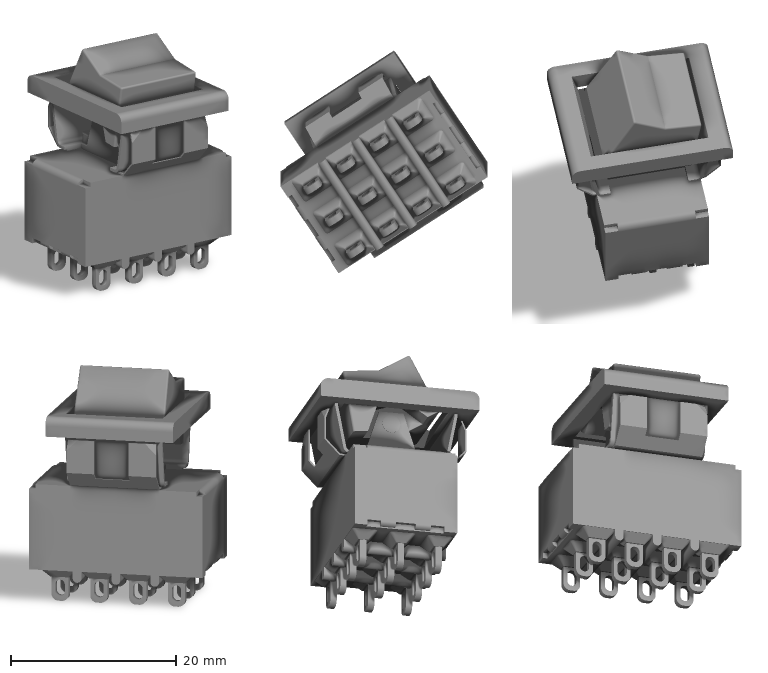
import cadquery as cq
import math

HOUSING_X = 12.8
HOUSING_Y = 21.58
HOUSING_BOTTOM = 4.0
HOUSING_TOP = 14.6
ROLL_LENGTH = 9.6
ROLL_RADIUS = 0.75
CORNER_NOTCH_Y = 0.77
CORNER_NOTCH_Z = 0.57
END_NOTCH_HEIGHT = 0.7
END_NOTCH_DEPTH = 0.57
TAB_OFFSET = 2.17
TAB_LENGTH = 1.9
TAB_HEIGHT = 0.55
TAB_RADIUS = 0.5

TERMINAL_PITCH_X = 4.72
TERMINAL_PITCH_Y = 4.83
TERMINAL_COLUMNS = 3
TERMINAL_ROWS = 4
TERMINAL_THICKNESS = 0.8
TERMINAL_WIDTH = 2.15
TERMINAL_CORNER = 0.85
SLOT_WIDTH = 1.17
SLOT_LENGTH = 2.0
SLOT_CENTER_Z = 1.63
SEAL_TOP = (3.2, 4.3)
SEAL_BOTTOM = (1.25, 2.35)
SEAL_HEIGHT = 1.0
SEAL_TOP_CORNER = 0.37
SEAL_BOTTOM_CORNER = 0.1
RIB_WIDTH = 1.1
RIB_BOTTOM = 2.63

COLLAR_X = 11.2
COLLAR_Y = 6.75
COLLAR_CORNER = 1.15
BLOCK_X = 11.55
BLOCK_Y = 6.4
BLOCK_CORNER = 1.0
BLOCK_TOP = 16.5
POST_DIAMETER = 5.2

CLIP_BOTTOM = 14.8
CLIP_THICKNESS = 0.2
CLIP_TOP = 20.83
CLIP_HALF_X = 8.9
CLIP_ELBOW_Z = 16.75
CLIP_FLOOR_HALF_X = 6.97
CLIP_HALF_Y = 5.57
CLIP_GAP_HALF_Y = 2.15
CLIP_GAP_BOTTOM = 16.03
TIP_SIZE = 1.35
TIP_REACH = 0.7
TIP_INSET = 0.1

BRACKET_BOTTOM = CLIP_BOTTOM + CLIP_THICKNESS
BRACKET_THICKNESS = 0.37
BRACKET_HALF_Y = 6.03
BRACKET_BEND = 0.85
LEG_TOP_HALF_X = 7.65
LEG_BOTTOM_HALF_X = 6.5
LEG_KINK_Z = 21.05
EAR_OUTER_Y = 3.6
EAR_BOTTOM_HALF_X = 3.7
EAR_TOP_HALF_X = 1.51
EAR_GAP_X = 9.6
EAR_TOP = 21.72
PIVOT_Z = 20.23
PIN_DIAMETER = 2.2
PIN_PROUD = 0.05

FRAME_X = 19.85
FRAME_Y = 15.85
FRAME_BOTTOM = 21.35
FRAME_TOP = 23.72
FRAME_RADIUS = 1.0
OPENING_TOP_HALF_X = 7.25
OPENING_BOTTOM_HALF_X = 6.55
OPENING_HALF_Y = BRACKET_HALF_Y

ROCKER_TILT = 18.7
ROCKER_HALF_ANGLE = 12.6
VALLEY_ABOVE_PIVOT = 6.43
ROCKER_TOP_HALF = 4.52
ROCKER_SIDE = 7.95
ROCKER_SIDE_FLARE = 9.4
ROCKER_TIP_HALF_Y = 5.55
ROCKER_FOOT_HALF_Y = 5.72
ROCKER_ROUND = 0.23
POCKET_FLARE = 37.4
POCKET_TOP = 2.3
POCKET_TOP_HALF_X = 1.57
POCKET_BOTTOM = -3.43


def block(x_size, y_size, z_bottom, z_top):
    """Upright box centred on the Z axis."""
    return cq.Workplane("XY").workplane(offset=z_bottom).rect(x_size, y_size).extrude(z_top - z_bottom)


def prism_y(points, y_start, y_end):
    """Prism along Y from an outline given as (x, z) points."""
    return cq.Workplane("XZ", origin=(0, y_start, 0)).polyline(points).close().extrude(y_start - y_end)


def mirrored_outline(half_points):
    """Close a half outline of (x, z) points by mirroring it across x = 0."""
    return half_points + [(-x, z) for x, z in reversed(half_points)]


def make_housing():
    body = block(HOUSING_X, HOUSING_Y, HOUSING_BOTTOM, HOUSING_TOP)
    corner_x = (HOUSING_X - ROLL_LENGTH) / 2
    roll = block(ROLL_LENGTH, HOUSING_Y, HOUSING_TOP - ROLL_RADIUS - 0.3, HOUSING_TOP)
    roll = roll.edges("|X and >Z").fillet(ROLL_RADIUS)
    notch_base = HOUSING_TOP - CORNER_NOTCH_Z
    for end in (-1, 1):
        step = cq.Workplane("XY").box(HOUSING_X, CORNER_NOTCH_Y, ROLL_RADIUS, centered=(True, True, False))
        end_y = end * (HOUSING_Y - CORNER_NOTCH_Y) / 2
        body = body.cut(step.translate((0, end_y, HOUSING_TOP - ROLL_RADIUS)))
        for side in (-1, 1):
            ledge_height = ROLL_RADIUS - CORNER_NOTCH_Z
            ledge = cq.Workplane("XY").box(corner_x, CORNER_NOTCH_Y, ledge_height)
            ledge_x = side * (HOUSING_X - corner_x) / 2
            body = body.union(ledge.translate((ledge_x, end_y, notch_base - ledge_height / 2)))
    body = body.union(roll)
    for end in (-1, 1):
        notch_y = end * (HOUSING_Y - END_NOTCH_DEPTH) / 2
        notch = cq.Workplane("XY").box(ROLL_LENGTH, END_NOTCH_DEPTH, END_NOTCH_HEIGHT)
        body = body.cut(notch.translate((0, notch_y, HOUSING_BOTTOM + END_NOTCH_HEIGHT / 2)))
        outer_edge = "|X and <Z and " + (">Y" if end > 0 else "<Y")
        tab = cq.Workplane("XY").box(TAB_LENGTH, END_NOTCH_DEPTH, TAB_HEIGHT)
        tab = tab.edges(outer_edge).fillet(TAB_RADIUS)
        tab_z = HOUSING_BOTTOM + END_NOTCH_HEIGHT - TAB_HEIGHT / 2
        for side in (-1, 1):
            body = body.union(tab.translate((side * TAB_OFFSET, notch_y, tab_z)))
    return body


def make_terminal():
    """One solder lug with its tapered seal, centred on the Z axis."""
    lug = block(TERMINAL_THICKNESS, TERMINAL_WIDTH, 0, HOUSING_BOTTOM)
    lug = lug.edges("|X and <Z").fillet(TERMINAL_CORNER)
    slot = cq.Workplane("YZ").center(0, SLOT_CENTER_Z).slot2D(SLOT_LENGTH, SLOT_WIDTH, 90)
    lug = lug.cut(slot.extrude(TERMINAL_THICKNESS, both=True))
    top = cq.Sketch().rect(*SEAL_TOP).vertices().fillet(SEAL_TOP_CORNER)
    bottom = cq.Sketch().rect(*SEAL_BOTTOM).vertices().fillet(SEAL_BOTTOM_CORNER)
    bottom = bottom.moved(cq.Location(cq.Vector(0, 0, -SEAL_HEIGHT)))
    seal = cq.Workplane("XY").workplane(offset=HOUSING_BOTTOM).placeSketch(top, bottom).loft()
    return lug.union(seal)


def make_ribs():
    ribs = cq.Workplane("XY")
    for row in range(1 - TERMINAL_ROWS // 2, TERMINAL_ROWS // 2):
        rib = block(HOUSING_X, RIB_WIDTH, RIB_BOTTOM, HOUSING_BOTTOM)
        rib = rib.edges("|X and <Z").fillet(RIB_WIDTH / 2 - 0.003)
        ribs = ribs.union(rib.translate((0, row * TERMINAL_PITCH_Y, 0)))
    return ribs


def make_bushing():
    collar = block(COLLAR_X, COLLAR_Y, HOUSING_TOP, BRACKET_BOTTOM).edges("|Z").fillet(COLLAR_CORNER)
    upper = block(BLOCK_X, BLOCK_Y, BRACKET_BOTTOM, BLOCK_TOP).edges("|Z").fillet(BLOCK_CORNER)
    post = cq.Workplane("XY").workplane(offset=BLOCK_TOP).circle(POST_DIAMETER / 2)
    return collar.union(upper).union(post.extrude(PIVOT_Z - BLOCK_TOP))


def make_clip_tip():
    """Bent corner of the arm at -X, +Y."""
    corners = [
        (-CLIP_HALF_X, CLIP_HALF_Y - TIP_SIZE, CLIP_TOP),
        (-CLIP_HALF_X, CLIP_HALF_Y, CLIP_TOP - TIP_SIZE),
        (-CLIP_HALF_X + TIP_REACH - CLIP_THICKNESS, CLIP_HALF_Y - TIP_INSET, CLIP_TOP - TIP_INSET),
    ]
    outline = cq.Wire.makePolygon([cq.Vector(*corner) for corner in corners], close=True)
    return cq.Workplane(cq.Solid.extrudeLinear(outline, [], cq.Vector(CLIP_THICKNESS, 0, 0)))


def make_clip():
    half = [
        (CLIP_FLOOR_HALF_X, CLIP_BOTTOM),
        (CLIP_HALF_X, CLIP_ELBOW_Z),
        (CLIP_HALF_X, CLIP_TOP),
    ]
    clip = prism_y(mirrored_outline(half), -CLIP_HALF_Y, CLIP_HALF_Y)
    clip = clip.faces(">Z or <Y or >Y").shell(-CLIP_THICKNESS)
    clip = clip.cut(block(3 * CLIP_HALF_X, 2 * CLIP_GAP_HALF_Y, CLIP_GAP_BOTTOM, CLIP_TOP))
    corner = cq.Workplane("YZ").polyline([
        (CLIP_HALF_Y - TIP_SIZE, CLIP_TOP),
        (CLIP_HALF_Y, CLIP_TOP),
        (CLIP_HALF_Y, CLIP_TOP - TIP_SIZE),
    ]).close().extrude(2 * CLIP_HALF_X, both=True)
    clip = clip.cut(corner).cut(corner.mirror("XZ"))
    tip = make_clip_tip()
    tips = tip.union(tip.mirror("XZ"))
    clip = clip.union(tips).union(tips.mirror("YZ"))
    return cut_ear_clearance(clip)


def cut_ear_clearance(sheet):
    """Open the floor of a bent sheet in front of both ears."""
    depth = BRACKET_HALF_Y - EAR_OUTER_Y
    for end in (-1, 1):
        gap = block(EAR_GAP_X, depth, CLIP_BOTTOM, BLOCK_TOP)
        sheet = sheet.cut(gap.translate((0, end * (EAR_OUTER_Y + depth / 2), 0)))
    return sheet


def make_bracket():
    half = [
        (LEG_BOTTOM_HALF_X, BRACKET_BOTTOM),
        (LEG_TOP_HALF_X, LEG_KINK_Z),
        (LEG_TOP_HALF_X, FRAME_BOTTOM + BRACKET_THICKNESS),
    ]
    bracket = prism_y(mirrored_outline(half), -BRACKET_HALF_Y, BRACKET_HALF_Y)
    bracket = bracket.edges("|Y and <Z").fillet(BRACKET_BEND)
    bracket = bracket.faces(">Z or <Y or >Y").shell(-BRACKET_THICKNESS)
    bracket = cut_ear_clearance(bracket)
    ear_half = [(EAR_BOTTOM_HALF_X, BRACKET_BOTTOM), (EAR_TOP_HALF_X, EAR_TOP)]
    ear_outline = mirrored_outline(ear_half)
    ear = prism_y(ear_outline, EAR_OUTER_Y - BRACKET_THICKNESS, EAR_OUTER_Y)
    pins = cq.Workplane("XZ").center(0, PIVOT_Z).circle(PIN_DIAMETER / 2)
    pins = pins.extrude(EAR_OUTER_Y + PIN_PROUD, both=True)
    return bracket.union(ear).union(ear.mirror("XZ")).union(pins)


def make_frame():
    frame = block(FRAME_X, FRAME_Y, FRAME_BOTTOM, FRAME_TOP)
    frame = frame.edges("|Y and >Z").fillet(FRAME_RADIUS)
    opening_half = [(OPENING_BOTTOM_HALF_X, FRAME_BOTTOM), (OPENING_TOP_HALF_X, FRAME_TOP)]
    return frame.cut(prism_y(mirrored_outline(opening_half), -OPENING_HALF_Y, OPENING_HALF_Y))


def make_rocker():
    slope = math.radians(ROCKER_HALF_ANGLE)
    flare = math.radians(ROCKER_SIDE_FLARE)
    tip_x = ROCKER_TOP_HALF * math.cos(slope)
    tip_z = VALLEY_ABOVE_PIVOT + ROCKER_TOP_HALF * math.sin(slope)
    foot_x = tip_x + ROCKER_SIDE * math.sin(flare)
    foot_z = tip_z - ROCKER_SIDE * math.cos(flare)
    keel_z = foot_z - foot_x * math.tan(slope)
    outline = [
        (0, VALLEY_ABOVE_PIVOT), (tip_x, tip_z), (foot_x, foot_z),
        (0, keel_z), (-foot_x, foot_z), (-tip_x, tip_z),
    ]
    draft = (ROCKER_FOOT_HALF_Y - ROCKER_TIP_HALF_Y) / (tip_z - foot_z)
    keel_half_y = ROCKER_FOOT_HALF_Y + draft * (foot_z - keel_z)
    rocker = prism_y(outline, -keel_half_y, keel_half_y)
    end_outline = mirrored_outline([(keel_half_y, keel_z), (ROCKER_TIP_HALF_Y, tip_z)])
    rocker = rocker.intersect(cq.Workplane("YZ").polyline(end_outline).close().extrude(foot_x, both=True))
    tip_edges = rocker.edges("|Y and >Z")
    upper_half = cq.selectors.BoxSelector((-foot_x, -keel_half_y, 0), (foot_x, keel_half_y, tip_z))
    side_edges = rocker.faces("<Y or >Y").edges(upper_half)
    rocker = rocker.newObject(tip_edges.vals() + side_edges.vals()).fillet(ROCKER_ROUND)

    pocket_flare = math.tan(math.radians(POCKET_FLARE))
    bottom_half_x = POCKET_TOP_HALF_X + (POCKET_TOP - POCKET_BOTTOM) * pocket_flare
    pocket_half = [(bottom_half_x, POCKET_BOTTOM), (POCKET_TOP_HALF_X, POCKET_TOP)]
    pocket = prism_y(mirrored_outline(pocket_half), EAR_OUTER_Y - BRACKET_THICKNESS, BRACKET_HALF_Y)
    rocker = rocker.cut(pocket).cut(pocket.mirror("XZ"))
    return rocker.rotate((0, 0, 0), (0, 1, 0), ROCKER_TILT).translate((0, 0, PIVOT_Z))


result = make_housing().union(make_ribs())
terminal = make_terminal()
for column in range(TERMINAL_COLUMNS):
    for row in range(TERMINAL_ROWS):
        terminal_x = (column - (TERMINAL_COLUMNS - 1) / 2) * TERMINAL_PITCH_X
        terminal_y = (row - (TERMINAL_ROWS - 1) / 2) * TERMINAL_PITCH_Y
        result = result.union(terminal.translate((terminal_x, terminal_y, 0)))
for piece in (make_bushing(), make_clip(), make_bracket(), make_frame(), make_rocker()):
    result = result.union(piece)